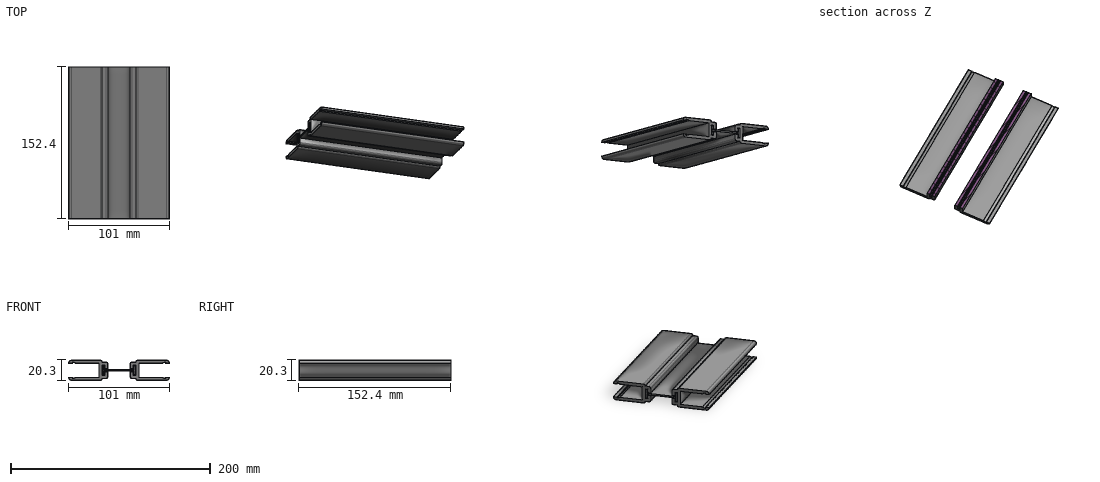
import cadquery as cq

LENGTH = 152.4
OVERALL_WIDTH = 100.97
OVERALL_HEIGHT = 20.3

OUTER_X = OVERALL_WIDTH / 2
TOP_Z = OVERALL_HEIGHT / 2
ARM_THICKNESS = 3.175
ARM_INNER_Z = TOP_Z - ARM_THICKNESS
CHANNEL_FLOOR_X = 20.15
TIP_RADIUS = 2.95

HEAD_X = 11.1
HEAD_TOP_Z = 8.25
HEAD_RADIUS = 2.0
SHOULDER_X = 16.9
SHOULDER_RADIUS = TOP_Z - HEAD_TOP_Z

LIP_WIDTH = 3.85
GROOVE_WIDTH = 3.15
GROOVE_DEPTH = 1.25
GROOVE_BULGE = 0.2
GROOVE_START_X = OUTER_X - LIP_WIDTH
GROOVE_END_X = GROOVE_START_X - GROOVE_WIDTH

WEB_THICKNESS = 1.6
FLANGE_THICKNESS = 1.65
FLANGE_HEIGHT = 9.4
FLANGE_OUTER_X = 16.55

SLOT_OUTER_X = 16.9
SLOT_WIDTH = 2.55
SLOT_HEIGHT = 9.9
THROAT_HEIGHT = 3.0


def bar(x_start, x_end, height):
    """Full-length rectangular bar centred on Y = 0 and Z = 0."""
    middle_x = (x_start + x_end) / 2
    return cq.Workplane("XY").box(x_end - x_start, LENGTH, height).translate((middle_x, 0, 0))


def channel_blank():
    """Solid arm section and head; a rounded shoulder joins the head to each arm."""
    upper_half = (
        cq.Workplane("XZ")
        .moveTo(HEAD_X, 0)
        .lineTo(HEAD_X, HEAD_TOP_Z - HEAD_RADIUS)
        .radiusArc((HEAD_X + HEAD_RADIUS, HEAD_TOP_Z), HEAD_RADIUS)
        .lineTo(SHOULDER_X, HEAD_TOP_Z)
        .radiusArc((SHOULDER_X + SHOULDER_RADIUS, TOP_Z), SHOULDER_RADIUS)
        .lineTo(OUTER_X - TIP_RADIUS, TOP_Z)
        .radiusArc((OUTER_X, TOP_Z - TIP_RADIUS), TIP_RADIUS)
        .lineTo(OUTER_X, 0)
        .close()
        .extrude(LENGTH / 2, both=True)
    )
    return upper_half.union(upper_half.mirror("XY"))


def snap_groove():
    """Groove in the upper arm: a square face at the lip and a curved run-out."""
    return (
        cq.Workplane("XZ")
        .moveTo(GROOVE_START_X, ARM_INNER_Z)
        .lineTo(GROOVE_START_X, ARM_INNER_Z + GROOVE_DEPTH)
        .sagittaArc((GROOVE_END_X, ARM_INNER_Z), -GROOVE_BULGE)
        .close()
        .extrude(LENGTH / 2, both=True)
    )


def make_channel():
    """Channel on the +X side, open outward, with a T-slot facing the centre."""
    groove = snap_groove()
    return (
        channel_blank()
        .cut(bar(CHANNEL_FLOOR_X, OUTER_X, 2 * ARM_INNER_Z))
        .cut(groove)
        .cut(groove.mirror("XY"))
        .cut(bar(SLOT_OUTER_X - SLOT_WIDTH, SLOT_OUTER_X, SLOT_HEIGHT))
        .cut(bar(HEAD_X, SLOT_OUTER_X, THROAT_HEIGHT))
    )


def make_panel():
    """Web spanning both channels, with a flange along each edge."""
    panel = bar(-FLANGE_OUTER_X, FLANGE_OUTER_X, WEB_THICKNESS)
    flange = bar(FLANGE_OUTER_X - FLANGE_THICKNESS, FLANGE_OUTER_X, FLANGE_HEIGHT)
    return panel.union(flange).union(flange.mirror("YZ"))


channels = [make_channel().rotate((0, 0, 0), (0, 0, 1), angle) for angle in (0, 180)]
panel = make_panel()

result = cq.Compound.makeCompound([*(channel.val() for channel in channels), panel.val()])